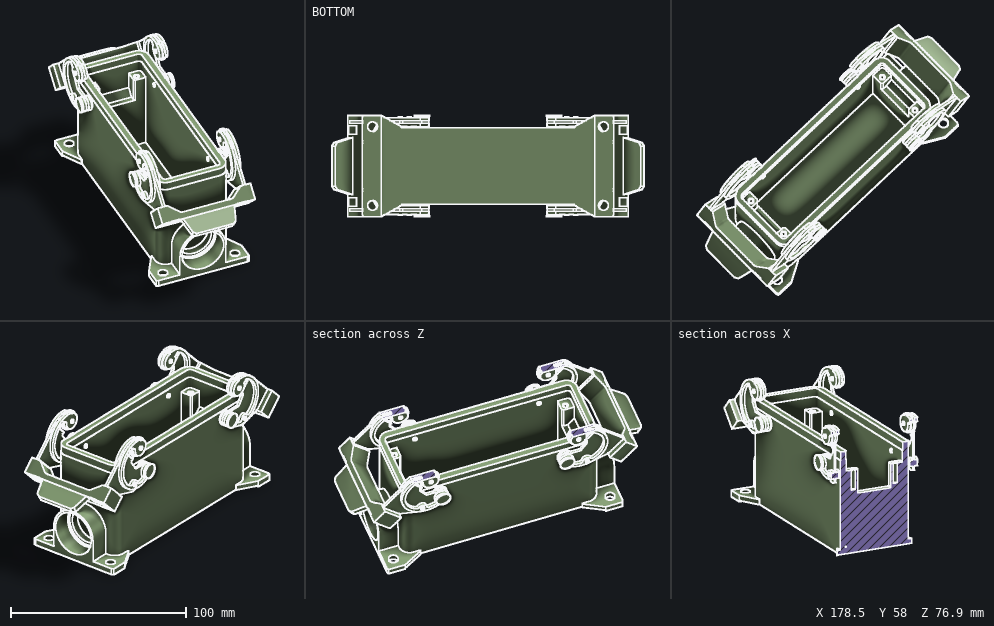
import cadquery as cq
import math

overall_length = 178.49
overall_width = 58.0
overall_height = 76.94

body_length = 120.0
body_width = 43.8
body_base_z = 0.75
body_top_z = 62.85
body_corner_radius = 6.4
rim_height = 5.05
rim_step = 0.1
cavity_length = 113.0
cavity_width = 35.8
cavity_corner_radius = 2.0
floor_z = 4.0

post_width = 7.4
post_corner_chamfer = 0.9
post_top_z = 50.9
inner_wall_x = -49.0
ledge_edge_x = -52.5
ledge_z = 36.5
ledge_wall_z = 40.6
screw_x = -52.1
screw_y = 13.4
screw_hole_diameter = 2.2
screw_countersink_diameter = 3.2
screw_countersink_angle = 90.0
screw_hole_depth = 12.0

sleeve_end_x = -71.8
sleeve_radius = 14.35
sleeve_axis_z = 17.1
entry_radius = 13.0
entry_depth = 11.0
entry_root_radius = 12.5
entry_root_depth = 12.2
knockout_radius = 10.6
knockout_depth = 17.0

foot_top_z = 3.9
foot_pad_inner_x = -61.0
foot_tip_x = -49.2
foot_tip_y = 22.4
foot_corner_x = 0.5
foot_corner_y = 1.3
foot_hole_x = -66.0
foot_hole_y = 22.5
foot_hole_diameter = 5.5

plate_inner_y = 22.55
blade_inner_y = 24.4
blade_outer_y = 25.9
plate_outer_y = 27.7
hook_outer_radius = 15.3
hook_inner_radius = 13.2
hook_x = -47.4
hook_z = overall_height - hook_outer_radius
hook_tip_x = -45.0
hook_tip_z = 71.2
hook_tip_radius = 4.8
neck_relief_x = -53.0
neck_relief_z = 70.2
neck_relief_radius = 3.75
roller_radius = 5.7
pivot_x = -37.8
pivot_z = 53.3
pivot_radius = 3.5
pivot_head_radius = 4.4
pivot_head_height = 0.8
pivot_head_chamfer = 0.3
plate_end_x = pivot_x - 0.2
plate_end_z = pivot_z - 0.1
plate_end_radius = 4.3
blade_end_radius = 4.0
pivot_embedding = 1.0
pivot_end_radius = 1.2
pivot_end_recess = 0.5
rivet_x = -50.1
rivet_z = 49.3
rivet_boss_radius = 2.6
rivet_boss_fillet = 1.5
rivet_radius = 1.15
rivet_projection = 0.5

yoke_corner_x = -80.2
yoke_corner_z = 50.9
yoke_depth = 13.9
yoke_end_thickness = 9.6
yoke_bar_thickness = 3.8
yoke_arm_y = 23.0
yoke_bar_y = 16.1
yoke_bend_radius = 3.0
blade_root = 5.0
blade_length = 31.9
blade_inset = 0.1
blade_throat = [(-49.7, 65.5), (-50.9, 64.6), (-50.9, 63.2)]
blade_shelf_x = -47.0
blade_chin = [(-45.3, 46.3), (-48.6, 44.4), (-50.4, 44.2)]
blade_slot_margin = 1.6
blade_slot_depth = 0.3
yoke_pocket_inner_y = 18.2
yoke_pocket_outer_y = 22.9
yoke_pocket_start = 0.5
yoke_pocket_end = 7.1
yoke_pocket_depth = 0.3
tab_tip_z = 45.2
tab_angle = 31.0
tab_length = 12.0
tab_thickness = 3.9
tab_root_half_width = 16.4
tab_shoulder_half_width = 13.4
tab_tip_half_width = 11.4
tab_shoulder = 1.3


def block(x_min, x_max, y_min, y_max, z_min, z_max):
    """Box given by its limits along the three axes."""
    size = (x_max - x_min, y_max - y_min, z_max - z_min)
    return cq.Workplane("XY").box(*size, centered=False).translate((x_min, y_min, z_min))


def rounded_block(length, width, radius, z_min, z_max):
    """Centred upright block with rounded vertical edges."""
    blank = cq.Workplane("XY", origin=(0, 0, z_min)).rect(length, width).extrude(z_max - z_min)
    return blank.edges("|Z").fillet(radius)


def cylinder_x(radius, z, x_start, length):
    """Cylinder on the part's centre plane running toward +X."""
    return cq.Workplane("YZ", origin=(x_start, 0, z)).circle(radius).extrude(length)


def side_plane(y):
    """XZ sketch plane at the given Y; extrusions run toward -Y."""
    return cq.Workplane("XZ", origin=(0, y, 0))


def disc(x, z, radius, y_min, y_max):
    """Cylinder along Y."""
    return side_plane(y_max).center(x, z).circle(radius).extrude(y_max - y_min)


def both_sides(shape):
    return shape.union(shape.mirror("XZ"))


def both_ends(shape):
    return shape.union(shape.mirror("YZ"))


def make_shell():
    rim_base_z = body_top_z - rim_height
    lower = rounded_block(body_length, body_width, body_corner_radius, body_base_z, rim_base_z)
    rim = rounded_block(
        body_length - 2 * rim_step,
        body_width - 2 * rim_step,
        body_corner_radius - rim_step,
        rim_base_z,
        body_top_z,
    )
    return lower.union(rim)


def make_cavity():
    rim_base_z = body_top_z - rim_height
    lower = rounded_block(cavity_length, cavity_width, cavity_corner_radius, floor_z, rim_base_z)
    mouth = rounded_block(
        cavity_length + 2 * rim_step,
        cavity_width + 2 * rim_step,
        cavity_corner_radius + rim_step,
        rim_base_z,
        body_top_z,
    )
    return lower.union(mouth)


def make_end_wall_thickening():
    """Inner end wall with a flat ledge and a slope up to the cavity wall."""
    wall_x = -cavity_length / 2
    outline = [
        (wall_x, floor_z),
        (inner_wall_x, floor_z),
        (inner_wall_x, ledge_z),
        (ledge_edge_x, ledge_z),
        (wall_x, ledge_wall_z),
    ]
    return side_plane(cavity_width / 2).polyline(outline).close().extrude(cavity_width)


def make_screw_post():
    wall_y = cavity_width / 2
    post = block(-cavity_length / 2, inner_wall_x, wall_y - post_width, wall_y, floor_z, post_top_z)
    post = post.edges("|Z and >X and <Y").chamfer(post_corner_chamfer)
    top = post.faces(">Z").workplane(origin=(screw_x, screw_y, post_top_z))
    return top.cskHole(
        screw_hole_diameter,
        screw_countersink_diameter,
        screw_countersink_angle,
        screw_hole_depth,
    )


def make_interior():
    fittings = make_end_wall_thickening().union(both_sides(make_screw_post()))
    envelope = rounded_block(cavity_length, cavity_width, cavity_corner_radius, floor_z, post_top_z)
    return fittings.intersect(envelope)


def make_sleeve():
    length = -body_length / 2 - sleeve_end_x + body_corner_radius
    barrel = cylinder_x(sleeve_radius, sleeve_axis_z, sleeve_end_x, length)
    base = block(
        sleeve_end_x,
        sleeve_end_x + length,
        -sleeve_radius,
        sleeve_radius,
        body_base_z,
        sleeve_axis_z,
    )
    return barrel.union(base)


def make_entry_bore():
    """Blind bore narrowing in two steps."""
    steps = (
        (entry_root_radius, entry_root_depth),
        (knockout_radius, knockout_depth),
    )
    bore = cylinder_x(entry_radius, sleeve_axis_z, sleeve_end_x, entry_depth)
    for radius, depth in steps:
        bore = bore.union(cylinder_x(radius, sleeve_axis_z, sleeve_end_x, depth))
    return bore


def make_foot():
    """End plate with lugs tapering back to the sides; its outer pad stands slightly lower."""
    edge_y = overall_width / 2
    half_outline = [
        (sleeve_end_x, edge_y - foot_corner_y),
        (sleeve_end_x + foot_corner_x, edge_y),
        (foot_pad_inner_x, edge_y),
        (foot_tip_x, foot_tip_y),
        (foot_tip_x, 0),
    ]
    outline = [(sleeve_end_x, 0)] + half_outline
    plate = cq.Workplane("XY").polyline(outline).close().extrude(foot_top_z)
    relief = block(foot_pad_inner_x, foot_tip_x, 0, edge_y, 0, body_base_z)
    hole = cq.Workplane("XY").center(foot_hole_x, foot_hole_y).circle(foot_hole_diameter / 2)
    return both_sides(plate.cut(relief).cut(hole.extrude(foot_top_z)))


def make_hook_plate(y_min, y_max):
    """Ring sector running from the tip disc round to the pivot."""
    thickness = y_max - y_min
    start = side_plane(y_max)
    ring = start.center(hook_x, hook_z).circle(hook_outer_radius).circle(hook_inner_radius)
    ring = ring.extrude(thickness)
    opening = [
        (hook_x, hook_z),
        (hook_tip_x, overall_height),
        (pivot_x + hook_outer_radius, overall_height),
        (pivot_x + hook_outer_radius, pivot_z),
        (pivot_x, pivot_z),
    ]
    ring = ring.cut(start.polyline(opening).close().extrude(thickness))
    reach = disc(hook_x, hook_z, hook_outer_radius, y_min, y_max)
    neck = block(neck_relief_x, hook_tip_x, y_min, y_max, hook_tip_z, overall_height)
    neck = neck.intersect(reach)
    neck = neck.cut(disc(neck_relief_x, neck_relief_z, neck_relief_radius, y_min, y_max))
    rivet_boss = disc(rivet_x, rivet_z, rivet_boss_radius, y_min, y_max).intersect(reach)
    plate = ring.union(rivet_boss)
    boss_reach = 2 * rivet_boss_radius
    boss_sides = cq.selectors.BoxSelector(
        (rivet_x - boss_reach, 0, rivet_z - rivet_boss_radius / 2),
        (rivet_x + boss_reach, overall_width, hook_z),
    )
    plate = plate.edges("|Y").edges(boss_sides).fillet(rivet_boss_fillet)
    plate = plate.union(neck)
    plate = plate.union(disc(hook_tip_x, hook_tip_z, hook_tip_radius, y_min, y_max))
    return plate.union(disc(plate_end_x, plate_end_z, plate_end_radius, y_min, y_max))


def yoke_point(rise, drop):
    """XZ point measured from the yoke's outer corner, up along its 45 degree slope and down across it."""
    scale = math.sqrt(2)
    return (yoke_corner_x + (rise + drop) / scale, yoke_corner_z + (rise - drop) / scale)


def make_blade():
    """Sheet carrying the hook plates, running from the pivot back into the yoke."""
    outline = [
        yoke_point(blade_root, blade_inset),
        yoke_point(blade_length, blade_inset),
        *blade_throat,
        (blade_shelf_x, body_top_z - rim_height),
        (pivot_x, body_top_z - rim_height),
        (pivot_x, pivot_z - blade_end_radius),
        *blade_chin,
        yoke_point(yoke_end_thickness, yoke_depth - blade_inset),
        yoke_point(blade_root, yoke_depth - blade_inset),
    ]
    sheet = side_plane(blade_outer_y).polyline(outline).close()
    sheet = sheet.extrude(blade_outer_y - blade_inner_y)
    return sheet.union(disc(pivot_x, pivot_z, blade_end_radius, blade_inner_y, blade_outer_y))


def make_rivet(x, z):
    y_min = plate_inner_y - rivet_projection
    y_max = plate_outer_y + rivet_projection
    return disc(x, z, rivet_radius, y_min, y_max)


def make_pivot():
    head_y = overall_width / 2 - pivot_head_height
    pin = disc(pivot_x, pivot_z, pivot_radius, body_width / 2 - pivot_embedding, head_y)
    head = disc(pivot_x, pivot_z, pivot_head_radius, head_y, overall_width / 2)
    return pin.union(head.faces("<Y").chamfer(pivot_head_chamfer))


def make_arm():
    arm = make_blade()
    arm = arm.union(make_hook_plate(plate_inner_y, blade_inner_y))
    arm = arm.union(make_hook_plate(blade_outer_y, plate_outer_y))
    arm = arm.union(disc(hook_tip_x, hook_tip_z, roller_radius, blade_inner_y, blade_outer_y))
    for x, z in ((hook_tip_x, hook_tip_z), (rivet_x, rivet_z)):
        arm = arm.union(make_rivet(x, z))
    return arm.union(make_pivot())


def make_yoke_recess(y_min, y_max, drop_min, drop_max, depth):
    """Rectangular cutter sunk square into the yoke's lower outer face."""
    outline = [
        yoke_point(0, drop_min),
        yoke_point(0, drop_max),
        yoke_point(depth, drop_max),
        yoke_point(depth, drop_min),
    ]
    return side_plane(y_max).polyline(outline).close().extrude(y_max - y_min)


def make_yoke():
    """Bar, thick at the arms and thin between them, swept square to its 45 degree slope."""
    plane = cq.Plane(origin=(yoke_corner_x, 0, yoke_corner_z), xDir=(1, 0, 1), normal=(1, 0, -1))
    edge_y = overall_width / 2
    outline = [
        (0, -edge_y),
        (yoke_end_thickness, -edge_y),
        (yoke_end_thickness, -yoke_arm_y),
        (yoke_bar_thickness, -yoke_bar_y),
        (yoke_bar_thickness, yoke_bar_y),
        (yoke_end_thickness, yoke_arm_y),
        (yoke_end_thickness, edge_y),
        (0, edge_y),
    ]
    yoke = cq.Workplane(plane).polyline(outline).close().extrude(yoke_depth)
    bend_limit_y = yoke_bar_y + (yoke_arm_y - yoke_bar_y) / 3
    bends = cq.selectors.BoxSelector(
        (yoke_corner_x, -bend_limit_y, 0),
        (0, bend_limit_y, overall_height),
    )
    yoke = yoke.edges("not |Y").edges(bends).fillet(yoke_bend_radius)
    blade_slot = make_yoke_recess(
        blade_inner_y,
        blade_outer_y,
        blade_slot_margin,
        yoke_depth - blade_slot_margin,
        blade_slot_depth,
    )
    pocket = make_yoke_recess(
        yoke_pocket_inner_y,
        yoke_pocket_outer_y,
        yoke_pocket_start,
        yoke_pocket_end,
        yoke_pocket_depth,
    )
    return yoke.cut(both_sides(blade_slot)).cut(both_sides(pocket))


def make_thumb_tab():
    """Tapered grip sloping down and out from the yoke."""
    slope = math.radians(tab_angle)
    plane = cq.Plane(
        origin=(-overall_length / 2, 0, tab_tip_z),
        xDir=(math.cos(slope), 0, math.sin(slope)),
        normal=(math.sin(slope), 0, -math.cos(slope)),
    )
    outline = [
        (tab_length, -tab_root_half_width),
        (tab_shoulder, -tab_shoulder_half_width),
        (0, -tab_tip_half_width),
        (0, tab_tip_half_width),
        (tab_shoulder, tab_shoulder_half_width),
        (tab_length, tab_root_half_width),
    ]
    return cq.Workplane(plane).polyline(outline).close().extrude(tab_thickness)


def make_lever():
    return make_yoke().union(make_thumb_tab()).union(both_sides(make_arm()))


def make_pivot_end_recess():
    """Shallow round recess inside the cavity behind a pivot pin."""
    wall_y = cavity_width / 2
    return disc(pivot_x, pivot_z, pivot_end_radius, wall_y, wall_y + pivot_end_recess)


housing = make_shell().union(both_ends(make_sleeve())).union(both_ends(make_foot()))
housing = housing.cut(make_cavity())
housing = housing.union(both_ends(make_interior()))
housing = housing.cut(both_ends(make_entry_bore()))
housing = housing.cut(both_ends(both_sides(make_pivot_end_recess())))

result = housing.union(both_ends(make_lever()))